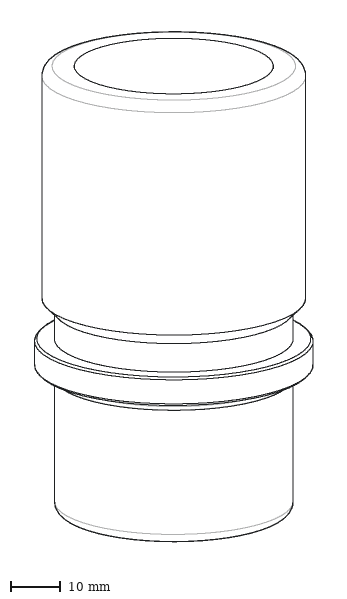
import cadquery as cq

total_height = 93.0
bore_diameter = 40.0
body_diameter = 48.0
sleeve_diameter = 53.0
flange_diameter = 56.0
groove_diameter = 46.5

groove_bottom = 28.0
flange_bottom = 30.0
flange_top = 36.0
taper_bottom = 41.9

end_fillet = 2.0
flange_chamfer = 0.5
groove_fillet = 0.6

bore_radius = bore_diameter / 2
body_radius = body_diameter / 2
sleeve_radius = sleeve_diameter / 2
flange_radius = flange_diameter / 2
groove_radius = groove_diameter / 2

taper_top = taper_bottom + sleeve_radius - body_radius

profile = (
    cq.Workplane("XZ")
    .moveTo(bore_radius, 0)
    .lineTo(body_radius, 0)
    .lineTo(body_radius, groove_bottom)
    .lineTo(groove_radius, groove_bottom)
    .lineTo(groove_radius, flange_bottom)
    .lineTo(flange_radius, flange_bottom)
    .lineTo(flange_radius, flange_top)
    .lineTo(body_radius, flange_top)
    .lineTo(body_radius, taper_bottom)
    .lineTo(sleeve_radius, taper_top)
    .lineTo(sleeve_radius, total_height)
    .lineTo(bore_radius, total_height)
    .close()
)
sleeve = profile.revolve(360, (0, 0, 0), (0, 1, 0))

outer_rim = cq.selectors.RadiusNthSelector(-1)
sleeve = sleeve.faces(">Z").edges(outer_rim).fillet(end_fillet)
sleeve = sleeve.faces("<Z").edges(outer_rim).fillet(end_fillet)

sleeve = sleeve.edges("%CIRCLE").edges(outer_rim).chamfer(flange_chamfer)

groove_corner = cq.selectors.BoxSelector(
    (-body_radius, -body_radius, groove_bottom - groove_fillet),
    (body_radius, body_radius, groove_bottom + groove_fillet),
)
groove_floor = cq.selectors.RadiusNthSelector(0)
result = sleeve.edges("%CIRCLE").edges(groove_corner).edges(groove_floor).fillet(groove_fillet)